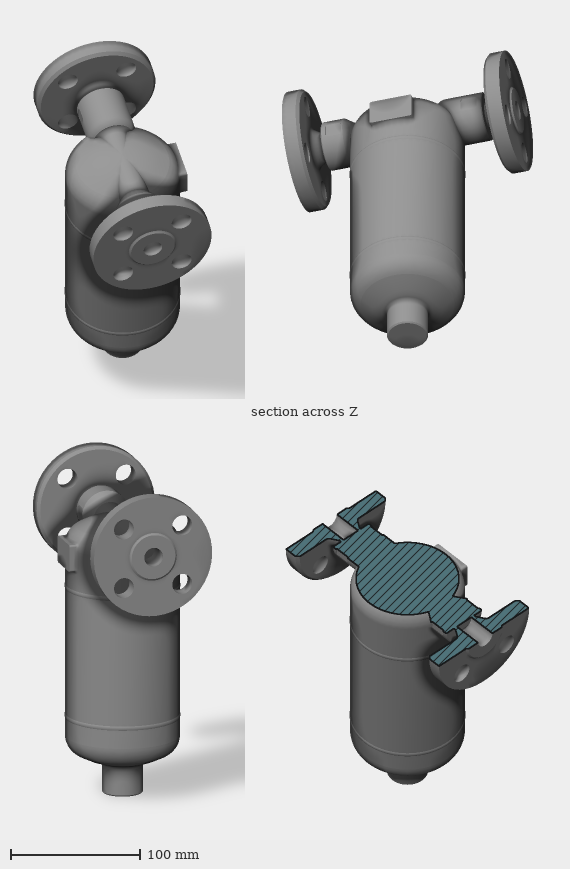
import cadquery as cq
import math

vessel_radius = 89.0 / 2
knuckle_radius = 16.0
crown_radius = 74.5
lower_head_z = 45.8
upper_head_z = 199.0

bead_centers_z = (62.0, 165.5)
bead_width = 3.3
bead_height = 0.39

stub_radius = 32.0 / 2
stub_chamfer = 1.0
stub_fillet = 2.5

flange_radius = 95.0 / 2
pipe_z = 257.5 - flange_radius
flange_outer_x = 87.5
flange_back_x = 74.2
flange_chamfer = 2.3
raised_face_x = 178.0 / 2
raised_face_base_radius = 38.0 / 2
raised_face_tip_radius = 35.0 / 2
bolt_hole_diameter = 16.0
bolt_offset = 23.5
bore_diameter = 15.0

hub_base_radius = 17.3
hub_cone_x = 72.5
hub_cone_radius = 14.7
neck_x = 66.2
neck_radius = 21.6 / 2

socket_radius = 38.0 / 2
socket_end_x = 65.0
socket_chamfer = 0.8
inlet_shoulder_start_x = -34.5
inlet_shoulder_end_x = -27.5
inlet_shoulder_radius = 9.5
inlet_pipe_x = -24.5
outlet_cone_start_x = 47.0
outlet_cone_end_x = 37.0

flat_length = 13.0
flat_height = 11.5
flat_corner = 2.0
flat_center_x = 54.5

pad_width = 34.0
pad_back_y = 47.5
pad_bottom_z = 183.0
pad_top_z = 204.5
pad_corner = 1.5
pad_fillet = 2.3

knuckle_center_r = vessel_radius - knuckle_radius
crown_angle = math.asin(knuckle_center_r / (crown_radius - knuckle_radius))
crown_edge_r = crown_radius * math.sin(crown_angle)
knuckle_height = knuckle_radius * math.cos(crown_angle)
crown_center_drop = (crown_radius - knuckle_radius) * math.cos(crown_angle)
head_height = crown_radius - crown_center_drop
knuckle_mid_angle = (math.pi / 2 - crown_angle) / 2
knuckle_mid_r = knuckle_center_r + knuckle_radius * math.cos(knuckle_mid_angle)
knuckle_mid_height = knuckle_radius * math.sin(knuckle_mid_angle)
crown_mid_r = crown_radius * math.sin(crown_angle / 2)
crown_mid_height = crown_radius * math.cos(crown_angle / 2) - crown_center_drop

lower_crown_center_z = lower_head_z + crown_center_drop
fillet_center_r = stub_radius + stub_fillet
fillet_reach = crown_radius + stub_fillet
fillet_center_z = lower_crown_center_z - math.sqrt(fillet_reach**2 - fillet_center_r**2)
fillet_end_r = fillet_center_r * crown_radius / fillet_reach
fillet_end_z = lower_crown_center_z - math.sqrt(crown_radius**2 - fillet_end_r**2)
lower_mid_r = (fillet_end_r + crown_edge_r) / 2

pipe_radius = upper_head_z + head_height - pipe_z


def revolve_about_pipe_line(profile):
    """Turn an (x, radius) profile about the pipe line."""
    return profile.close().revolve(360, (0, 0, 0), (1, 0, 0)).translate((0, 0, pipe_z))


def make_vessel():
    profile = (
        cq.Workplane("XZ")
        .moveTo(0, 0)
        .lineTo(stub_radius - stub_chamfer, 0)
        .lineTo(stub_radius, stub_chamfer)
        .lineTo(stub_radius, fillet_center_z)
        .tangentArcPoint((fillet_end_r, fillet_end_z), relative=False)
        .threePointArc(
            (lower_mid_r, lower_crown_center_z - math.sqrt(crown_radius**2 - lower_mid_r**2)),
            (crown_edge_r, lower_head_z - knuckle_height),
        )
        .threePointArc(
            (knuckle_mid_r, lower_head_z - knuckle_mid_height),
            (vessel_radius, lower_head_z),
        )
    )
    for z in bead_centers_z:
        profile = profile.lineTo(vessel_radius, z - bead_width / 2).threePointArc(
            (vessel_radius + bead_height, z), (vessel_radius, z + bead_width / 2)
        )
    return (
        profile.lineTo(vessel_radius, upper_head_z)
        .threePointArc(
            (knuckle_mid_r, upper_head_z + knuckle_mid_height),
            (crown_edge_r, upper_head_z + knuckle_height),
        )
        .threePointArc(
            (crown_mid_r, upper_head_z + crown_mid_height),
            (0, upper_head_z + head_height),
        )
        .close()
        .revolve(360, (0, 0, 0), (0, 1, 0))
    )


def add_pad(body):
    pad = (
        cq.Workplane("XY")
        .box(pad_width, pad_back_y, pad_top_z - pad_bottom_z, centered=(True, False, False))
        .edges("|Y")
        .fillet(pad_corner)
        .translate((0, 0, pad_bottom_z))
    )
    padded = body.union(pad)
    joint = cq.selectors.BoxSelector(
        (-pad_width, vessel_radius / 2, pad_bottom_z - pad_corner),
        (pad_width, pad_back_y - pad_corner, pad_top_z + pad_corner),
        boundingbox=True,
    )
    return padded.edges(joint).fillet(pad_fillet)


def make_run():
    """Crossing pipe with the inlet socket at -X and the outlet socket at +X."""
    shoulder_length = inlet_shoulder_end_x - inlet_shoulder_start_x
    shoulder_sweep = math.asin(shoulder_length / inlet_shoulder_radius)
    shoulder_drop = inlet_shoulder_radius * (1 - math.cos(shoulder_sweep))
    shoulder_mid = (
        inlet_shoulder_start_x + inlet_shoulder_radius * math.sin(shoulder_sweep / 2),
        socket_radius - inlet_shoulder_radius * (1 - math.cos(shoulder_sweep / 2)),
    )
    shoulder_end = (inlet_shoulder_end_x, socket_radius - shoulder_drop)
    return revolve_about_pipe_line(
        cq.Workplane("XZ")
        .moveTo(socket_end_x, 0)
        .lineTo(socket_end_x, socket_radius - socket_chamfer)
        .lineTo(socket_end_x - socket_chamfer, socket_radius)
        .lineTo(outlet_cone_start_x, socket_radius)
        .lineTo(outlet_cone_end_x, pipe_radius)
        .lineTo(inlet_pipe_x, pipe_radius)
        .tangentArcPoint(shoulder_end, relative=False)
        .threePointArc(shoulder_mid, (inlet_shoulder_start_x, socket_radius))
        .lineTo(-socket_end_x + socket_chamfer, socket_radius)
        .lineTo(-socket_end_x, socket_radius - socket_chamfer)
        .lineTo(-socket_end_x, 0)
    )


def cut_socket_flats(run):
    flat_y = math.sqrt(socket_radius**2 - (flat_height / 2) ** 2)
    cutter = (
        cq.Workplane("XZ")
        .rect(flat_length, flat_height)
        .extrude(socket_radius)
        .edges("|Y")
        .fillet(flat_corner)
        .translate((0, -flat_y, pipe_z))
    )
    for x in (-flat_center_x, flat_center_x):
        pocket = cutter.translate((x, 0, 0))
        run = run.cut(pocket).cut(pocket.mirror("XZ"))
    return run


def make_flange():
    """Outlet flange with its hub, neck, bolt holes and a blind bore ending at the socket."""
    flange = revolve_about_pipe_line(
        cq.Workplane("XZ")
        .moveTo(socket_end_x, 0)
        .lineTo(socket_end_x, neck_radius)
        .lineTo(neck_x, neck_radius)
        .lineTo(hub_cone_x, hub_cone_radius)
        .tangentArcPoint((flange_back_x, hub_base_radius), relative=False)
        .lineTo(flange_back_x, flange_radius - flange_chamfer)
        .lineTo(flange_back_x + flange_chamfer, flange_radius)
        .lineTo(flange_outer_x, flange_radius)
        .lineTo(flange_outer_x, raised_face_base_radius)
        .lineTo(raised_face_x, raised_face_tip_radius)
        .lineTo(raised_face_x, 0)
    )
    bolt_holes = (
        cq.Workplane("YZ", origin=(flange_back_x, 0, pipe_z))
        .rect(2 * bolt_offset, 2 * bolt_offset, forConstruction=True)
        .vertices()
        .circle(bolt_hole_diameter / 2)
        .extrude(raised_face_x - flange_back_x)
    )
    bore = (
        cq.Workplane("YZ", origin=(socket_end_x, 0, pipe_z))
        .circle(bore_diameter / 2)
        .extrude(raised_face_x - socket_end_x)
    )
    return flange.cut(bolt_holes).cut(bore)


body = add_pad(make_vessel())
run = cut_socket_flats(make_run())
flange = make_flange()
result = body.union(run).union(flange).union(flange.mirror("YZ"))